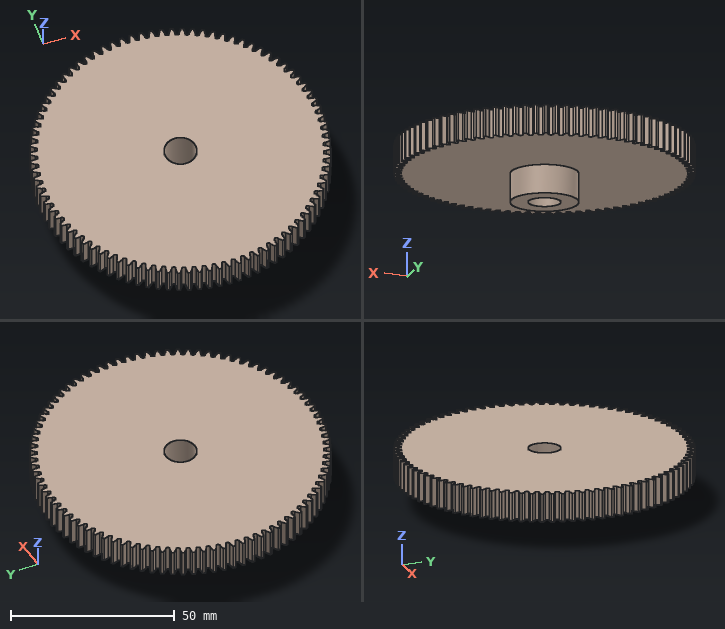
import cadquery as cq
import math

outer_diameter = 92.0
tooth_count = 90
pressure_angle = math.radians(20)
overall_height = 18.0
face_width = overall_height / 2
hub_diameter = 21.0
bore_diameter = 10.0

addendum_factor = 1.0
dedendum_factor = 1.25
involute_depth_factor = 0.5
flank_intervals = 4

module = outer_diameter / (tooth_count + 2 * addendum_factor)
tip_radius = outer_diameter / 2
pitch_radius = module * tooth_count / 2
base_radius = pitch_radius * math.cos(pressure_angle)
involute_start_radius = pitch_radius - involute_depth_factor * module
root_radius = pitch_radius - dedendum_factor * module
tooth_pitch = 2 * math.pi / tooth_count
flank_step = (tip_radius - involute_start_radius) / flank_intervals
flank_radii = [involute_start_radius + i * flank_step for i in range(flank_intervals + 1)]


def polar(radius, angle):
    return (radius * math.cos(angle), radius * math.sin(angle))


def involute(angle):
    return math.tan(angle) - angle


def half_tooth_angle(radius):
    """Half of the angle that one involute tooth spans at the given radius."""
    local_pressure_angle = math.acos(base_radius / radius)
    return tooth_pitch / 4 + involute(pressure_angle) - involute(local_pressure_angle)


flank_half_angle = half_tooth_angle(involute_start_radius)
gap_half_angle = tooth_pitch / 2 - flank_half_angle
gap_arc_centre_radius = root_radius / (1 - math.sin(gap_half_angle))
gap_arc_end_radius = gap_arc_centre_radius * math.cos(gap_half_angle)


def gear_outline():
    """Closed outline of all teeth, with the first tooth centred on +X."""
    outline = cq.Workplane("XY").moveTo(*polar(gap_arc_end_radius, -flank_half_angle))
    for tooth in range(tooth_count):
        centre = tooth * tooth_pitch
        rising = [polar(r, centre - half_tooth_angle(r)) for r in flank_radii]
        falling = [polar(r, centre + half_tooth_angle(r)) for r in reversed(flank_radii)]
        gap_start = polar(gap_arc_end_radius, centre + flank_half_angle)
        gap_bottom = polar(root_radius, centre + tooth_pitch / 2)
        gap_end = polar(gap_arc_end_radius, centre + tooth_pitch - flank_half_angle)
        outline = (
            outline.lineTo(*rising[0])
            .spline(rising[1:], includeCurrent=True)
            .threePointArc(polar(tip_radius, centre), falling[0])
            .spline(falling[1:], includeCurrent=True)
            .lineTo(*gap_start)
            .threePointArc(gap_bottom, gap_end)
        )
    return outline.close()


toothed_disc = gear_outline().extrude(face_width)
hub = cq.Workplane("XY").circle(hub_diameter / 2).extrude(face_width - overall_height)
result = toothed_disc.union(hub).faces(">Z").workplane().hole(bore_diameter)